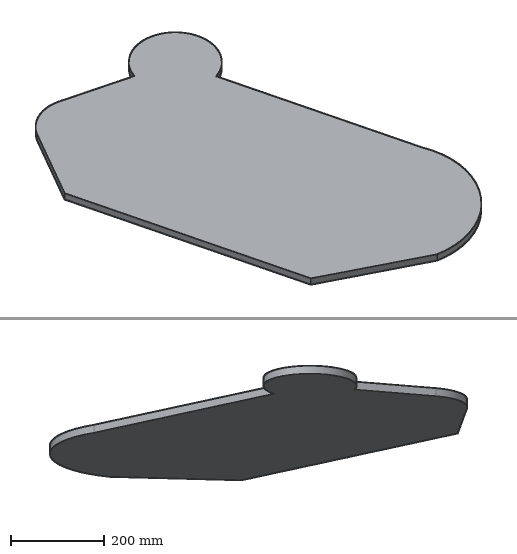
import cadquery as cq

thickness = 18.0
base_length = 600.0
corner_rise = 200.0
upper_edge_height = 499.0
nose_radius = 96.0
lobe_radius = 100.0

right_side = base_length + corner_rise
bulge_height = upper_edge_height - lobe_radius

body = (
    cq.Workplane("XY")
    .lineTo(base_length, 0)
    .lineTo(right_side, corner_rise)
    .threePointArc((right_side, bulge_height), (base_length, upper_edge_height))
    .lineTo(0, upper_edge_height)
    .lineTo(-corner_rise, corner_rise)
    .close()
    .extrude(thickness)
)

body = body.edges("|Z").edges("<X").fillet(nose_radius)

lobe = (
    cq.Workplane("XY")
    .center(0, upper_edge_height)
    .circle(lobe_radius)
    .extrude(thickness)
)

result = body.union(lobe)